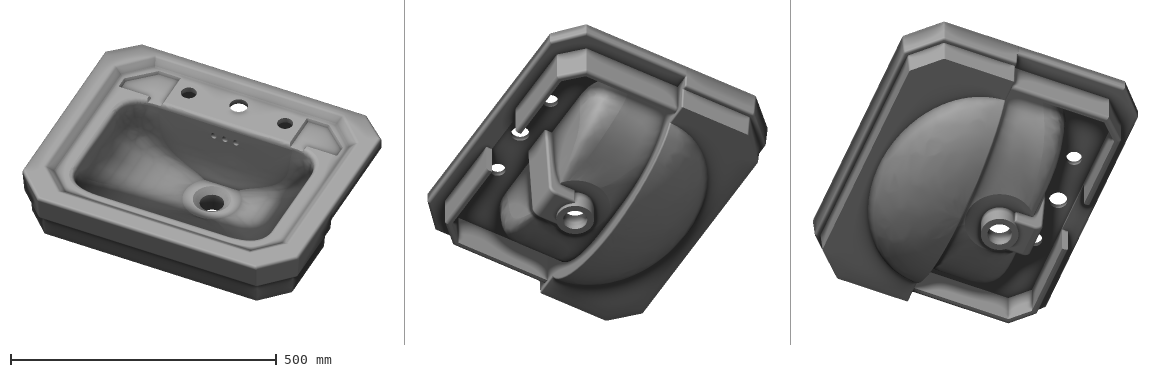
import cadquery as cq
import math


width = 574.19
depth = 474.72
height = 200.0
half_width = width / 2
half_depth = depth / 2

front_corner = 60.0
back_corner_x = 54.0
back_corner_y = 48.0
block_back_y = -27.0
block_edge_radius = 3.0
rim_bottom_z = -29.0
band_bottom_z = -54.0
skirt_bottom_z = -101.0
draft_angle = 4.4
skirt_inset = 9.0
rim_edge_radius = 6.0
front_corner_radius = 6.0
rim_lower_radius = 6.0
band_lower_radius = 5.0
draft = math.radians(draft_angle)
draft_allowance = rim_edge_radius * (math.tan(draft) + 1 / math.cos(draft) - 1)

box_half_width = 254.0
box_back_y = 211.0
box_corner = 41.0
box_bottom_z = -93.0
box_wall = 12.0
box_lower_radius = 7.0
notch_width = 110.0

deck_z = -12.0
deck_thickness = 11.0
deck_half_width = 235.0
deck_front_y = -186.0
deck_back_y = 199.0
deck_front_corner = 43.0
deck_back_corner = 47.0
deck_slope_run = 16.5
deck_edge_radius = 10.0
deck_foot_radius = 6.0

tray_depth = 5.0
tray_wall_angle = 38.0
tray_inner_x = 131.0
tray_step_x = 164.0
tray_outer_x = 227.0
tray_back_y = 192.0
tray_front_y = 121.0
tray_corner_x = 177.0
tray_corner_y = 146.0
tray_mouth_y = 95.0

bowl_wall = 10.0
bowl_lip_radius = 10.0
lip_steps = 4
drain_y = 50.4
drain_diameter = 46.0
drain_cone_diameter = 72.0
drain_tube_diameter = 71.0
drain_floor_z = -152.0
drain_cone_depth = 10.0
drain_disc_radius = 55.6
bowl_floor_back_y = 93.0

belly_center_z = -65.0
belly_radius_x = 234.0
belly_radius_y = 174.0
belly_bottom_z = -191.0

tap_diameter = 35.0
tap_y = 169.0
side_tap_diameter = 30.0
side_tap_x = 100.0
side_tap_y = 161.0
overflow_diameter = 12.0
overflow_pitch = 23.0
overflow_z = -46.7
overflow_back_y = 120.0
channel_width = 70.0
channel_back_top_y = 134.0
channel_back_low_y = 124.0
channel_front_y = 68.0
channel_bottom_z = -192.0
channel_corner_radius = 16.0
channel_edge_radius = 5.0


def octagon(half_x, front_y, back_y, front_cut, back_cut_x, back_cut_y, z=0.0):
    """Rectangle with bevelled corners, symmetric about X = 0, on the plane at height z."""
    right_side = [
        (half_x - front_cut, front_y),
        (half_x, front_y + front_cut),
        (half_x, back_y - back_cut_y),
        (half_x - back_cut_x, back_y),
    ]
    left_side = [(-x, y) for x, y in reversed(right_side)]
    return cq.Workplane("XY", origin=(0, 0, z)).polyline(right_side + left_side).close()


def slab(y_min, y_max, z_min, z_max, x_size=2 * width):
    """Box centred on X = 0."""
    return (
        cq.Workplane("XY", origin=(0, (y_min + y_max) / 2, z_min))
        .rect(x_size, y_max - y_min)
        .extrude(z_max - z_min)
    )


def rim_outline(inset=0.0, z=0.0):
    cut_change = inset * (2 - math.sqrt(2))
    return octagon(
        half_width - inset,
        -half_depth + inset,
        half_depth - inset,
        front_corner - cut_change,
        back_corner_x - cut_change,
        back_corner_y - cut_change,
        z,
    )


def deck_outline(offset, z):
    cut_change = offset * (2 - math.sqrt(2))
    return octagon(
        deck_half_width + offset,
        deck_front_y - offset,
        deck_back_y + offset,
        deck_front_corner + cut_change,
        deck_back_corner + cut_change,
        deck_back_corner + cut_change,
        z,
    )


def make_deck_recess():
    floor = deck_outline(0, deck_z).wire().val()
    mouth = deck_outline(deck_slope_run, 0).wire().val()
    recess = cq.Workplane(cq.Solid.makeLoft([floor, mouth], True))
    return recess.faces("<Z").edges().fillet(deck_foot_radius)


def inner_edges(half_x, half_y, z):
    """Selector for the edges lying at height z within the given half sizes."""
    tolerance = 0.1
    return cq.selectors.BoxSelector(
        (-half_x, -half_y, z - tolerance), (half_x, half_y, z + tolerance), boundingbox=True
    )


def sink_deck(plate):
    """Cut the deck recess into a rim plate and round its mouth."""
    plate = plate.cut(make_deck_recess())
    mouth = inner_edges(half_width - skirt_inset, half_depth - skirt_inset, 0)
    return plate.edges(mouth).fillet(deck_edge_radius)


def make_rear_rim():
    rim = rim_outline().extrude(rim_bottom_z)
    rim = rim.faces("<Z").edges().fillet(rim_lower_radius)
    rim = rim.faces(">Z").edges().fillet(rim_edge_radius)
    return rim.intersect(slab(block_back_y, half_depth, rim_bottom_z, 0))


def round_front_corners(prism):
    """Round the four upright edges of the two front bevels."""
    uprights = cq.selectors.BoxSelector(
        (-width, -depth, -height), (width, block_back_y, 0)
    ) - cq.selectors.PerpendicularDirSelector(cq.Vector(0, 0, 1))
    return prism.edges(uprights).fillet(front_corner_radius)


def make_band():
    band = rim_outline(-draft_allowance).extrude(band_bottom_z, taper=draft_angle)
    band = round_front_corners(band)
    band = band.faces("<Z").edges().fillet(band_lower_radius)
    band = band.faces(">Z").edges().fillet(rim_edge_radius)
    return band.intersect(slab(-depth, block_back_y, band_bottom_z, 0))


def make_skirt():
    top_inset = skirt_inset - rim_bottom_z * math.tan(draft)
    skirt = rim_outline(top_inset, rim_bottom_z)
    skirt = skirt.extrude(skirt_bottom_z - rim_bottom_z, taper=draft_angle)
    skirt = round_front_corners(skirt)
    return skirt.intersect(slab(-depth, block_back_y, skirt_bottom_z, rim_bottom_z))


def make_belly():
    radius_z = belly_center_z - belly_bottom_z
    stretch = cq.Matrix([
        [belly_radius_x, 0, 0, 0],
        [0, belly_radius_y, 0, block_back_y],
        [0, 0, radius_z, belly_center_z],
    ])
    ball = cq.Workplane("XY").sphere(1.0).val().transformGeometry(stretch)
    region = slab(-half_depth, block_back_y, belly_bottom_z, skirt_bottom_z)
    return region.intersect(cq.Workplane(ball))


def make_rim():
    """Whole rim plate: an upright back half and a drafted front half around the sunk deck."""
    front = make_band().intersect(slab(-depth, block_back_y, rim_bottom_z, 0))
    return sink_deck(make_rear_rim().union(front))


def make_front_block():
    """Lower band, skirt and belly, rounded along their back edges."""
    lower_band = make_band().intersect(slab(-depth, block_back_y, band_bottom_z, rim_bottom_z))
    block = lower_band.union(make_skirt()).union(make_belly())
    return block.faces(">Y").edges("not >Z").fillet(block_edge_radius)


def box_outline(inset=0.0, z=0.0):
    return octagon(
        box_half_width - inset,
        block_back_y - 2 * box_wall,
        box_back_y - inset,
        box_wall,
        box_corner - inset * (2 - math.sqrt(2)),
        box_corner - inset * (2 - math.sqrt(2)),
        z,
    )


def make_rear_box():
    box = box_outline(z=deck_z).extrude(box_bottom_z - deck_z)
    box = box.faces("<Z").edges().fillet(box_lower_radius)
    return box.intersect(slab(block_back_y, half_depth, box_bottom_z, deck_z))


def make_rear_hollow():
    """Open space under the deck, with a notch through the back wall behind the taps."""
    ceiling_z = deck_z - deck_thickness
    hollow = box_outline(box_wall, ceiling_z).extrude(box_bottom_z - ceiling_z)
    hollow = hollow.intersect(slab(block_back_y, half_depth, box_bottom_z, ceiling_z))
    notch = slab(tap_y, half_depth, box_bottom_z, rim_bottom_z, notch_width)
    return hollow.union(notch)


def bowl_section(z, front, front_side, back_side, back, grow):
    """Closed wire with straight front, back and sides joined by tangent curves.

    front, front_side, back_side and back are the ends of the straights on the +X half.
    """
    front = (front[0], front[1] - grow, z - grow)
    front_side = (front_side[0] + grow, front_side[1], z - grow)
    back_side = (back_side[0] + grow, back_side[1], z - grow)
    back = (back[0], back[1] + grow, z - grow)

    def mirrored(point):
        return (-point[0], point[1], point[2])

    points = [front, front_side, back_side, back]
    points += [mirrored(p) for p in reversed(points)]
    ways = [(1, 0, 0), (0, 1, 0), (0, 1, 0), (-1, 0, 0), (-1, 0, 0), (0, -1, 0), (0, -1, 0), (1, 0, 0)]
    edges = []
    for i in range(8):
        start = cq.Vector(*points[i])
        end = cq.Vector(*points[(i + 1) % 8])
        if i % 2 == 0:
            ends = [cq.Vector(*ways[i]), cq.Vector(*ways[(i + 1) % 8])]
            edges.append(cq.Edge.makeSpline([start, end], tangents=ends))
        else:
            edges.append(cq.Edge.makeLine(start, end))
    return cq.Wire.assembleEdges(edges)


def floor_section(z, radius, back_y):
    """Circle round the drain, cut straight along its back, in eight edges like bowl_section."""
    back_angle = math.degrees(math.asin((back_y - drain_y) / radius))
    half_angles = [-65, -16, 40, back_angle]
    angles = half_angles + [180 - a for a in reversed(half_angles)]

    def point(angle):
        return cq.Vector(
            radius * math.cos(math.radians(angle)), drain_y + radius * math.sin(math.radians(angle)), z
        )

    edges = []
    for i in range(8):
        start = angles[i]
        end = angles[i + 1] if i < 7 else angles[0] + 360
        if i == 3:
            edges.append(cq.Edge.makeLine(point(start), point(end)))
        else:
            edges.append(cq.Edge.makeThreePointArc(point(start), point((start + end) / 2), point(end)))
    return cq.Wire.assembleEdges(edges)


def mouth_section(z, grow):
    return bowl_section(z, (129, -164), (202, -113), (202, 52), (140, 109), grow)


def make_bowl(grow=0.0):
    """Bowl cavity below its lip, or with a positive grow the outside of the bowl wall."""
    sections = [
        mouth_section(deck_z - bowl_lip_radius + grow, grow),
        bowl_section(-50, (126, -150), (195, -98), (195, 57), (136, 107), grow),
        bowl_section(-90, (116, -116), (172, -58), (172, 68), (128, 105), grow),
        bowl_section(-125, (87, -60), (124, -14), (124, 79), (94, 101), grow),
        floor_section(drain_floor_z - grow, drain_disc_radius + grow, bowl_floor_back_y + grow),
    ]
    return cq.Workplane(cq.Solid.makeLoft(sections))


def make_bowl_lip():
    """Flared mouth of the bowl, a quarter round from the bowl wall up to the deck."""
    sections = []
    for step in range(lip_steps + 1):
        angle = math.pi / 2 * step / lip_steps
        flare = bowl_lip_radius * (1 - math.cos(angle))
        z = deck_z - bowl_lip_radius * (1 - math.sin(angle))
        sections.append(mouth_section(z + flare, flare))
    return cq.Workplane(cq.Solid.makeLoft(sections))


def make_tray(side):
    outline = [
        (tray_inner_x, tray_mouth_y),
        (tray_inner_x, tray_back_y),
        (tray_corner_x, tray_back_y),
        (tray_outer_x, tray_corner_y),
        (tray_outer_x, tray_front_y),
        (tray_step_x, tray_front_y),
        (tray_step_x, tray_mouth_y),
    ]
    points = [(side * x, y) for x, y in outline]
    return cq.Workplane("XY", origin=(0, 0, deck_z)).polyline(points).close().extrude(
        -tray_depth, taper=tray_wall_angle
    )


def make_channel():
    """Overflow channel down the back of the bowl to the drain tube."""
    profile = [
        (channel_front_y, deck_z - deck_thickness),
        (channel_back_top_y, deck_z - deck_thickness),
        (channel_back_low_y, channel_bottom_z),
        (channel_front_y, channel_bottom_z),
    ]
    channel = cq.Workplane("YZ").polyline(profile).close().extrude(channel_width / 2, both=True)
    channel = channel.faces("<Z").edges("|X and >Y").fillet(channel_corner_radius)
    return channel.faces("<X or >X").edges().fillet(channel_edge_radius)


def vertical_cylinder(x, y, diameter, z_min, z_max):
    return cq.Workplane("XY", origin=(x, y, z_min)).circle(diameter / 2).extrude(z_max - z_min)


def make_drain():
    cone = (
        cq.Workplane("XY", origin=(0, drain_y, drain_floor_z))
        .circle(drain_cone_diameter / 2)
        .workplane(offset=-drain_cone_depth)
        .circle(drain_diameter / 2)
        .loft()
    )
    return cone.union(vertical_cylinder(0, drain_y, drain_diameter, -height, drain_floor_z))


def make_overflow_holes():
    return (
        cq.Workplane("XZ", origin=(0, overflow_back_y, overflow_z))
        .rarray(overflow_pitch, 1, 3, 1)
        .circle(overflow_diameter / 2)
        .extrude(overflow_back_y - channel_front_y)
    )


body = make_rim().union(make_rear_box()).cut(make_rear_hollow())
body = body.union(make_front_block())
body = body.union(make_channel())
body = body.union(make_bowl(bowl_wall))
body = body.union(vertical_cylinder(0, drain_y, drain_tube_diameter, -height, drain_floor_z))
body = body.cut(make_bowl())
body = body.cut(make_bowl_lip())
body = body.cut(make_drain())
for side in (-1, 1):
    body = body.cut(make_tray(side))
    body = body.cut(vertical_cylinder(side * side_tap_x, side_tap_y, side_tap_diameter, rim_bottom_z, 0))
body = body.cut(vertical_cylinder(0, tap_y, tap_diameter, rim_bottom_z, 0))
body = body.cut(make_overflow_holes())
result = body